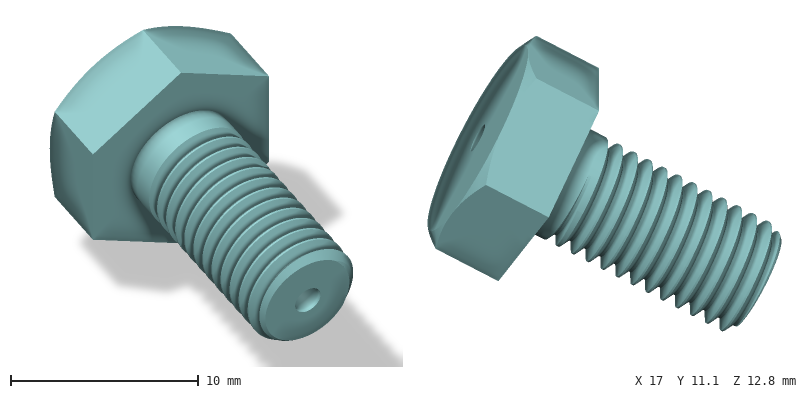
import cadquery as cq
import math

head_sides = 6
across_flats = 11.1
across_corners = across_flats / math.cos(math.pi / head_sides)
head_height = 4.32
head_chamfer_angle = 30.0

shank_diameter = 6.35
shank_radius = shank_diameter / 2
shank_length = 12.7
bore_diameter = 1.6
tip_chamfer = 0.5

inch = 25.4
threads_per_inch = 28
pitch = inch / threads_per_inch
flank_half_angle = math.radians(30)
crest_flat = pitch / 8
root_flat = pitch / 6
groove_half_opening = (pitch - crest_flat) / 2
thread_depth = (groove_half_opening - root_flat / 2) / math.tan(flank_half_angle)
cutter_clearance = 0.05

groove_height_at_zero = 1.57
run_in_start = -0.10
run_in_end = 0.25
run_in_points = 13
full_turns = math.ceil((shank_length - groove_height_at_zero) / pitch)


def make_head():
    """Hexagon below the bearing face, its outer end rounded by a cone."""
    blank = (
        cq.Workplane("XY")
        .polygon(head_sides, across_corners)
        .extrude(-head_height)
    )
    face_radius = across_flats / 2
    rim_radius = across_corners
    cone_height = (rim_radius - face_radius) * math.tan(math.radians(head_chamfer_angle))
    envelope = (
        cq.Workplane("XZ")
        .moveTo(0, -head_height)
        .lineTo(face_radius, -head_height)
        .lineTo(rim_radius, cone_height - head_height)
        .lineTo(rim_radius, 0)
        .lineTo(0, 0)
        .close()
        .revolve(360, (0, 0, 0), (0, 1, 0))
    )
    return blank.intersect(envelope)


def make_shank():
    """Plain cylinder with a chamfered tip."""
    return (
        cq.Workplane("XY")
        .circle(shank_radius)
        .extrude(shank_length)
        .faces(">Z")
        .chamfer(tip_chamfer)
    )


def groove_corners(depth):
    """Cutter section at a given depth, as (radius, axial offset) pairs in order."""
    root_radius = shank_radius - depth
    outer_radius = shank_radius + cutter_clearance
    root_half = root_flat / 2
    outer_half = root_half + (outer_radius - root_radius) * math.tan(flank_half_angle)
    return [
        (root_radius, -root_half),
        (root_radius, root_half),
        (outer_radius, outer_half),
        (outer_radius, -outer_half),
    ]


def solid_between_rails(rails):
    """Solid bounded by ruled faces between neighbouring rails and flat end caps."""
    pairs = list(zip(rails, rails[1:] + rails[:1]))
    faces = [cq.Face.makeRuledSurface(a, b) for a, b in pairs]
    for end in (0, 1):
        corners = [rail.positionAt(end) for rail in rails]
        faces.append(cq.Face.makeFromWires(cq.Wire.makePolygon(corners, close=True)))
    solid = cq.Solid.makeSolid(cq.Shell.makeShell(faces))
    return solid.fix()


def groove_rail(corner, start_turn):
    """One helix turn traced by a corner of the full-depth cutter section."""
    radius, offset = corner
    start_height = groove_height_at_zero + start_turn * pitch + offset
    helix = cq.Wire.makeHelix(pitch, pitch, radius)
    helix = helix.rotate(cq.Vector(0, 0, 0), cq.Vector(0, 0, 1), 360 * start_turn)
    return helix.translate(cq.Vector(0, 0, start_height)).Edges()[0]


def make_groove_turn(start_turn):
    """One full-depth turn of the groove."""
    rails = [groove_rail(corner, start_turn) for corner in groove_corners(thread_depth)]
    return solid_between_rails(rails)


def make_run_in_groove():
    """Short start of the groove whose depth grows evenly from zero to full."""
    rail_points = [[], [], [], []]
    for step in range(run_in_points):
        share = step / (run_in_points - 1)
        turn = run_in_start + share * (run_in_end - run_in_start)
        angle = 2 * math.pi * turn
        centre_height = groove_height_at_zero + turn * pitch
        for points, (radius, offset) in zip(rail_points, groove_corners(share * thread_depth)):
            points.append(
                cq.Vector(radius * math.cos(angle), radius * math.sin(angle), centre_height + offset)
            )
    return solid_between_rails([cq.Edge.makeSpline(points) for points in rail_points])


def make_threaded_shank():
    """Shank with the run-in and every full turn cut; the last turn passes out of the tip."""
    shank = make_shank().cut(cq.Workplane(make_run_in_groove()))
    for turn in range(full_turns):
        shank = shank.cut(cq.Workplane(make_groove_turn(run_in_end + turn)))
    return shank


bore = (
    cq.Workplane("XY", origin=(0, 0, -head_height))
    .circle(bore_diameter / 2)
    .extrude(head_height + shank_length)
)
bolt = make_head().union(make_threaded_shank()).cut(bore)

result = bolt.rotate((0, 0, 0), (0, 1, 0), 90)